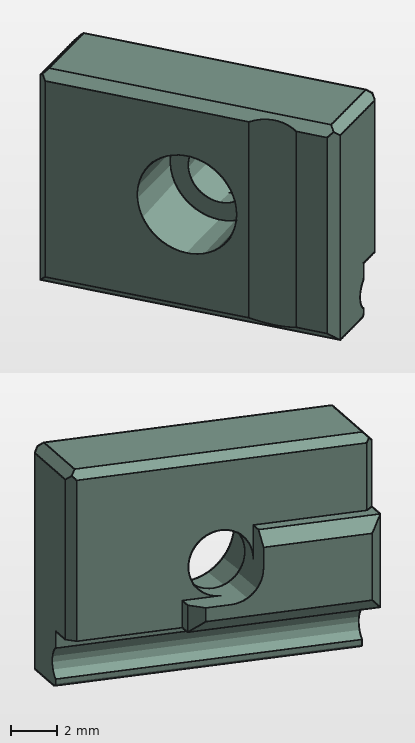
import cadquery as cq

length = 14.2
height = 10.34
plate_thickness = 4.5
front_chamfer = 0.43
back_chamfer = 0.38

total_depth = 5.75
boss_length = 8.93
boss_bottom = 2.57
boss_top = 6.86
boss_chamfer = 0.61

lip_thickness = 2.95
lip_groove_center_z = 1.08
lip_groove_half_width = 0.71
lip_groove_depth = 0.4
lip_round = 0.2

hole_x = 7.14
hole_z = 5.31
hole_diameter = 3.0
counterbore_diameter = 4.7
counterbore_depth = 3.5

front_groove_x = 11.19
front_groove_half_width = 1.12
front_groove_depth = 0.21


def arc_radius(half_width, depth):
    """Radius of the arc with the given half chord and rise."""
    return (half_width**2 + depth**2) / (2 * depth)


def rod_along_y(diameter, depth):
    """Cylinder on the hole axis, from the front face backwards."""
    return cq.Workplane("XZ", origin=(hole_x, 0, hole_z)).circle(diameter / 2).extrude(-depth)


def make_plate():
    """Intersect the side, plan and front outlines, so the chamfers meet in miters."""
    side = (
        cq.Workplane("YZ")
        .moveTo(front_chamfer, 0)
        .lineTo(lip_thickness - lip_round, 0)
        .radiusArc((lip_thickness, lip_round), -lip_round)
        .lineTo(lip_thickness, lip_groove_center_z - lip_groove_half_width)
        .threePointArc(
            (lip_thickness - lip_groove_depth, lip_groove_center_z),
            (lip_thickness, lip_groove_center_z + lip_groove_half_width),
        )
        .lineTo(lip_thickness, boss_bottom)
        .lineTo(plate_thickness, boss_bottom)
        .lineTo(plate_thickness, height - back_chamfer)
        .lineTo(plate_thickness - back_chamfer, height)
        .lineTo(front_chamfer, height)
        .lineTo(0, height - front_chamfer)
        .lineTo(0, front_chamfer)
        .close()
        .extrude(length)
    )
    plan = (
        cq.Workplane("XY")
        .box(length, plate_thickness, height, centered=False)
        .edges("|Z and <Y")
        .chamfer(front_chamfer)
        .edges("|Z and >Y")
        .chamfer(back_chamfer)
    )
    front = (
        cq.Workplane("XY")
        .box(length, plate_thickness, height, centered=False)
        .edges("|Y and >Z")
        .chamfer(front_chamfer)
    )
    return side.intersect(plan).intersect(front)


def make_boss():
    """Boss rooted at the lip depth, chamfered around its back face."""
    return (
        cq.Workplane("XY", origin=(0, lip_thickness, boss_bottom))
        .box(boss_length, total_depth - lip_thickness, boss_top - boss_bottom, centered=False)
        .faces(">Y")
        .chamfer(boss_chamfer)
    )


def make_boss_notch():
    """Upper right corner of the boss, cut down to the plate with its inner corner following the hole."""
    hole_radius = hole_diameter / 2
    return (
        cq.Workplane("XY", origin=(hole_x - hole_radius, plate_thickness, hole_z - hole_radius))
        .box(length, total_depth, height, centered=False)
        .edges("|Y and <X and <Z")
        .fillet(hole_radius)
    )


def make_front_groove():
    """Vertical cylinder that dips into the front face."""
    radius = arc_radius(front_groove_half_width, front_groove_depth)
    return (
        cq.Workplane("XY", origin=(front_groove_x, front_groove_depth - radius, 0))
        .circle(radius)
        .extrude(height)
    )


result = (
    make_plate()
    .union(make_boss())
    .cut(make_boss_notch())
    .cut(make_front_groove())
    .cut(rod_along_y(hole_diameter, total_depth))
    .cut(rod_along_y(counterbore_diameter, counterbore_depth))
)